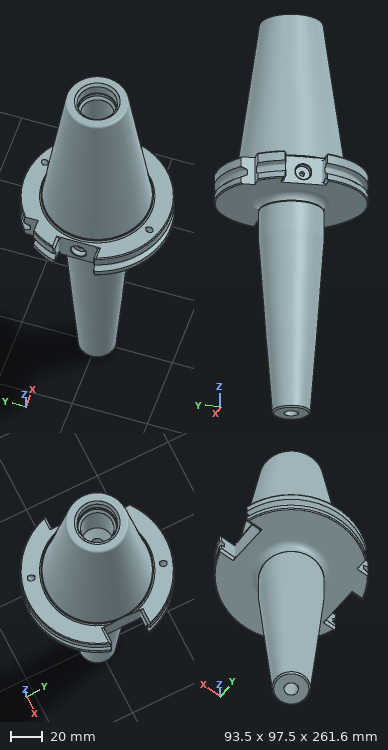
import cadquery as cq
import math

TAPER_TOP = 101.6
NOSE_LENGTH = 160.0
COLLAR_TOP = 0.6
FLANGE_TOP = -1.0
FLANGE_BOTTOM = -19.1
NECK_BOTTOM = -44.3
TIP_CONE_TOP = -109.0
NOSE_BOTTOM = -NOSE_LENGTH

GAUGE_RADIUS = 69.85 / 2
TAPER_SLOPE = 7 / 48
TAPER_TOP_FILLET = 1.7
COLLAR_RADIUS = 35.5
COLLAR_FLARE = 0.9

FLANGE_RADIUS = 97.5 / 2
RIM_CHAMFER = 0.7
GROOVE_CENTER = -11.1
GROOVE_FLOOR_RADIUS = 45.6
GROOVE_OPENING = 7.1
GROOVE_SIDE_ANGLE = 30
GROOVE_FLOOR_FILLET = 1.0

ROOT_FILLET = 5.0
ROOT_RADIUS = 20.4
NECK_RADIUS = 20.8
NECK_STEP = 0.8
TIP_TOP_RADIUS = 16.05
TIP_END_RADIUS = 12.1
TIP_CHAMFER = 1.0

BORE_RADIUS = 4.5
MOUTH_RADIUS = 14.4
MOUTH_CHAMFER = 1.2
PILOT_RADIUS = 12.7
PILOT_LEAD_IN = 0.5
PILOT_DEPTH = 8.5
RELIEF_RADIUS = 12.2
RELIEF_DEPTH = 11.0
THREAD_RADIUS = 10.5
THREAD_DEPTH = 45.0
DRILL_TIP_ANGLE = 60

SLOT_WIDTH = 25.7
SLOT_FLOOR_LEFT = 37.7
SLOT_FLOOR_RIGHT = 35.3
SLOT_FLARE = 1.0
SLOT_BEVEL = 1.7
SLOT_CORNER_FILLET = 0.8
NOTCH_X = -29.8
NOTCH_Y = 29.5
PLUG_RADIUS = 5.0
PLUG_RECESS = 4.0
PLUG_CHAMFER = 0.4
PLUG_SOCKET_RADIUS = 1.5
PLUG_SOCKET_DEPTH = 3.0
PORT_CIRCLE_RADIUS = 42.0
PORT_ANGLE = 70
PORT_RADIUS = 2.0
PORT_TILT = 35
PORT_LENGTH = 10.0

EDGE_MARGIN = 0.1

FLANGE_HEIGHT = FLANGE_TOP - FLANGE_BOTTOM


def taper_radius(z):
    return GAUGE_RADIUS - TAPER_SLOPE * z


def make_body():
    """Revolve the outer outline of taper, flange and nose about Z."""
    groove_half = GROOVE_OPENING / 2
    groove_depth = FLANGE_RADIUS - GROOVE_FLOOR_RADIUS
    floor_half = groove_half - groove_depth * math.tan(math.radians(GROOVE_SIDE_ANGLE))
    root_bottom = FLANGE_BOTTOM - ROOT_FILLET
    fillet_mid = ROOT_FILLET * (1 - math.sqrt(0.5))
    outline = (
        cq.Workplane("XZ")
        .moveTo(0, TAPER_TOP)
        .lineTo(taper_radius(TAPER_TOP), TAPER_TOP)
        .lineTo(taper_radius(COLLAR_TOP), COLLAR_TOP)
        .lineTo(COLLAR_RADIUS, COLLAR_TOP)
        .lineTo(COLLAR_RADIUS, FLANGE_TOP + COLLAR_FLARE)
        .lineTo(COLLAR_RADIUS + COLLAR_FLARE, FLANGE_TOP)
        .lineTo(FLANGE_RADIUS - RIM_CHAMFER, FLANGE_TOP)
        .lineTo(FLANGE_RADIUS, FLANGE_TOP - RIM_CHAMFER)
        .lineTo(FLANGE_RADIUS, GROOVE_CENTER + groove_half)
        .lineTo(GROOVE_FLOOR_RADIUS, GROOVE_CENTER + floor_half)
        .lineTo(GROOVE_FLOOR_RADIUS, GROOVE_CENTER - floor_half)
        .lineTo(FLANGE_RADIUS, GROOVE_CENTER - groove_half)
        .lineTo(FLANGE_RADIUS, FLANGE_BOTTOM + RIM_CHAMFER)
        .lineTo(FLANGE_RADIUS - RIM_CHAMFER, FLANGE_BOTTOM)
        .lineTo(ROOT_RADIUS + ROOT_FILLET, FLANGE_BOTTOM)
        .threePointArc(
            (ROOT_RADIUS + fillet_mid, FLANGE_BOTTOM - fillet_mid),
            (ROOT_RADIUS, root_bottom),
        )
        .lineTo(NECK_RADIUS, root_bottom - NECK_STEP)
        .lineTo(NECK_RADIUS, NECK_BOTTOM)
        .lineTo(TIP_TOP_RADIUS, TIP_CONE_TOP)
        .lineTo(TIP_END_RADIUS, NOSE_BOTTOM + TIP_CHAMFER)
        .lineTo(TIP_END_RADIUS - TIP_CHAMFER, NOSE_BOTTOM)
        .lineTo(0, NOSE_BOTTOM)
        .close()
    )
    body = outline.revolve(360, (0, 0, 0), (0, 1, 0))
    groove_floor_edges = cq.selectors.BoxSelector(
        (-FLANGE_RADIUS, -FLANGE_RADIUS, GROOVE_CENTER - floor_half - EDGE_MARGIN),
        (FLANGE_RADIUS, FLANGE_RADIUS, GROOVE_CENTER + floor_half + EDGE_MARGIN),
    )
    return (
        body.faces(">Z").edges().fillet(TAPER_TOP_FILLET)
        .edges(groove_floor_edges).edges("%CIRCLE").fillet(GROOVE_FLOOR_FILLET)
    )


def make_bore():
    """Revolve the through bore with its threaded end, pilot and mouth chamfer."""
    lead_in_radius = PILOT_RADIUS + PILOT_LEAD_IN
    lead_in_top = TAPER_TOP - MOUTH_CHAMFER
    pilot_bottom = TAPER_TOP - PILOT_DEPTH
    relief_bottom = TAPER_TOP - RELIEF_DEPTH
    relief_cone_height = RELIEF_RADIUS - THREAD_RADIUS
    thread_bottom = TAPER_TOP - THREAD_DEPTH
    tip_height = (THREAD_RADIUS - BORE_RADIUS) / math.tan(math.radians(DRILL_TIP_ANGLE))
    outline = (
        cq.Workplane("XZ")
        .moveTo(0, TAPER_TOP)
        .lineTo(MOUTH_RADIUS, TAPER_TOP)
        .lineTo(lead_in_radius, lead_in_top)
        .lineTo(PILOT_RADIUS, lead_in_top - PILOT_LEAD_IN)
        .lineTo(PILOT_RADIUS, pilot_bottom)
        .lineTo(RELIEF_RADIUS, pilot_bottom)
        .lineTo(RELIEF_RADIUS, relief_bottom)
        .lineTo(THREAD_RADIUS, relief_bottom - relief_cone_height)
        .lineTo(THREAD_RADIUS, thread_bottom)
        .lineTo(BORE_RADIUS, thread_bottom - tip_height)
        .lineTo(BORE_RADIUS, NOSE_BOTTOM)
        .lineTo(0, NOSE_BOTTOM)
        .close()
    )
    return outline.revolve(360, (0, 0, 0), (0, 1, 0))


def make_slot(floor, side):
    """Drive slot on one side (+1 or -1) of X, flared at the rim and bevelled at both faces."""
    half = SLOT_WIDTH / 2
    outer = 2 * FLANGE_RADIUS
    flare_x = math.sqrt(FLANGE_RADIUS**2 - half**2) - SLOT_FLARE
    rim_y = half + SLOT_FLARE
    rim_x = math.sqrt(FLANGE_RADIUS**2 - rim_y**2)
    outer_y = half + SLOT_FLARE * (outer - flare_x) / (rim_x - flare_x)
    plan = [
        (side * floor, -half),
        (side * flare_x, -half),
        (side * outer, -outer_y),
        (side * outer, outer_y),
        (side * flare_x, half),
        (side * floor, half),
    ]
    slot = (
        cq.Workplane("XY", origin=(0, 0, FLANGE_BOTTOM))
        .polyline(plan)
        .close()
        .extrude(COLLAR_TOP - FLANGE_BOTTOM)
        .edges("|Z and " + ("<X" if side > 0 else ">X"))
        .fillet(SLOT_CORNER_FILLET)
    )
    for face_z, inward in ((FLANGE_TOP, -1), (FLANGE_BOTTOM, 1)):
        bevel = (
            cq.Workplane("YZ", origin=(side * floor, 0, 0))
            .polyline([
                (-half - SLOT_BEVEL, face_z),
                (half + SLOT_BEVEL, face_z),
                (half, face_z + inward * SLOT_BEVEL),
                (-half, face_z + inward * SLOT_BEVEL),
            ])
            .close()
            .extrude(side * (outer - floor))
        )
        slot = slot.union(bevel)
    return slot


def make_notch():
    """Corner notch through the full flange height at -X, +Y."""
    size = FLANGE_RADIUS
    return cq.Workplane("XY", origin=(NOTCH_X, NOTCH_Y, FLANGE_BOTTOM)).rect(
        -size, size, centered=False
    ).extrude(FLANGE_HEIGHT)


def make_plug_recess():
    """Round recess with a chamfered mouth and a small socket in the floor of the -X slot."""
    face = cq.Workplane("YZ", origin=(-SLOT_FLOOR_LEFT, 0, GROOVE_CENTER))
    recess = face.circle(PLUG_RADIUS).extrude(PLUG_RECESS)
    mouth = face.circle(PLUG_RADIUS + PLUG_CHAMFER).extrude(PLUG_CHAMFER, taper=45)
    socket = face.circle(PLUG_SOCKET_RADIUS).extrude(PLUG_RECESS + PLUG_SOCKET_DEPTH)
    return recess.union(mouth).union(socket)


def make_port(angle):
    """Blind hole in the upper flange face, leaning inwards towards the axis as it goes down."""
    tilt = math.radians(PORT_TILT)
    inward = cq.Vector(-math.sin(tilt), 0, -math.cos(tilt))
    mouth = cq.Vector(PORT_CIRCLE_RADIUS, 0, FLANGE_TOP)
    start = mouth - inward * (2 * PORT_RADIUS)
    drill = cq.Solid.makeCylinder(PORT_RADIUS, PORT_LENGTH + 2 * PORT_RADIUS, start, inward)
    return cq.Workplane(drill.rotate(cq.Vector(0, 0, 0), cq.Vector(0, 0, 1), angle))


result = (
    make_body()
    .cut(make_bore())
    .cut(make_slot(SLOT_FLOOR_LEFT, -1))
    .cut(make_slot(SLOT_FLOOR_RIGHT, 1))
    .cut(make_notch())
    .cut(make_plug_recess())
    .cut(make_port(PORT_ANGLE))
    .cut(make_port(PORT_ANGLE + 180))
)